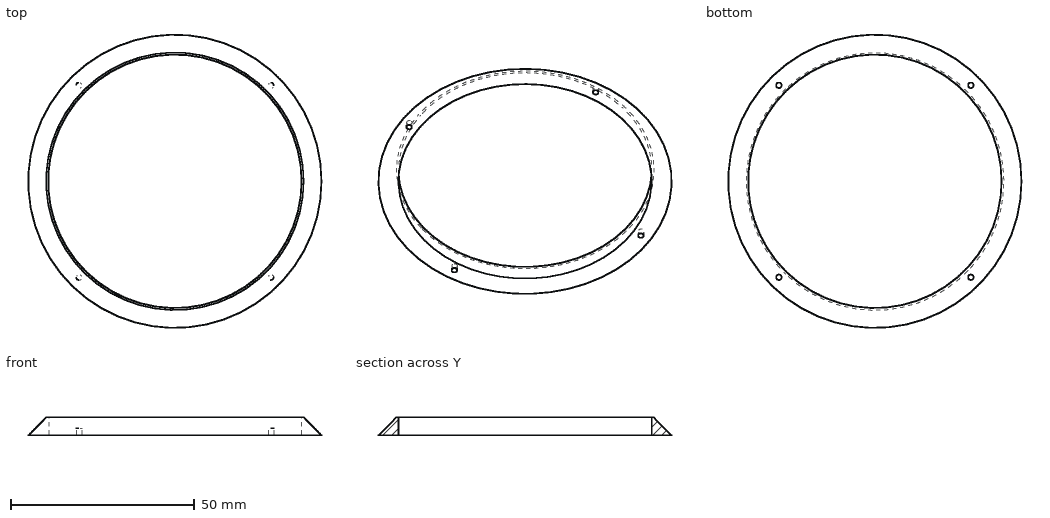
import cadquery as cq

BASE_DIAMETER = 80.0
BORE_DIAMETER = 69.02
HEIGHT = 5.0
RIM_WIDTH = 0.6
TOP_DIAMETER = BORE_DIAMETER + 2 * RIM_WIDTH

HOLE_COUNT = 4
HOLE_DIAMETER = 1.51
HOLE_DEPTH = 2.0
HOLE_CIRCLE_RADIUS = 37.0
FIRST_HOLE_ANGLE = 45.0


def bevelled_ring():
    """Revolve the trapezoidal section about the Z axis."""
    bore_radius = BORE_DIAMETER / 2
    section = [
        (bore_radius, 0),
        (BASE_DIAMETER / 2, 0),
        (TOP_DIAMETER / 2, HEIGHT),
        (bore_radius, HEIGHT),
    ]
    return cq.Workplane("XZ").polyline(section).close().revolve(360, (0, 0), (0, 1))


def pin_holes():
    """Cylinders rising from the base that stop just under the sloping flank."""
    return (
        cq.Workplane("XY")
        .polarArray(HOLE_CIRCLE_RADIUS, FIRST_HOLE_ANGLE, 360, HOLE_COUNT)
        .circle(HOLE_DIAMETER / 2)
        .extrude(HOLE_DEPTH)
    )


result = bevelled_ring().cut(pin_holes())